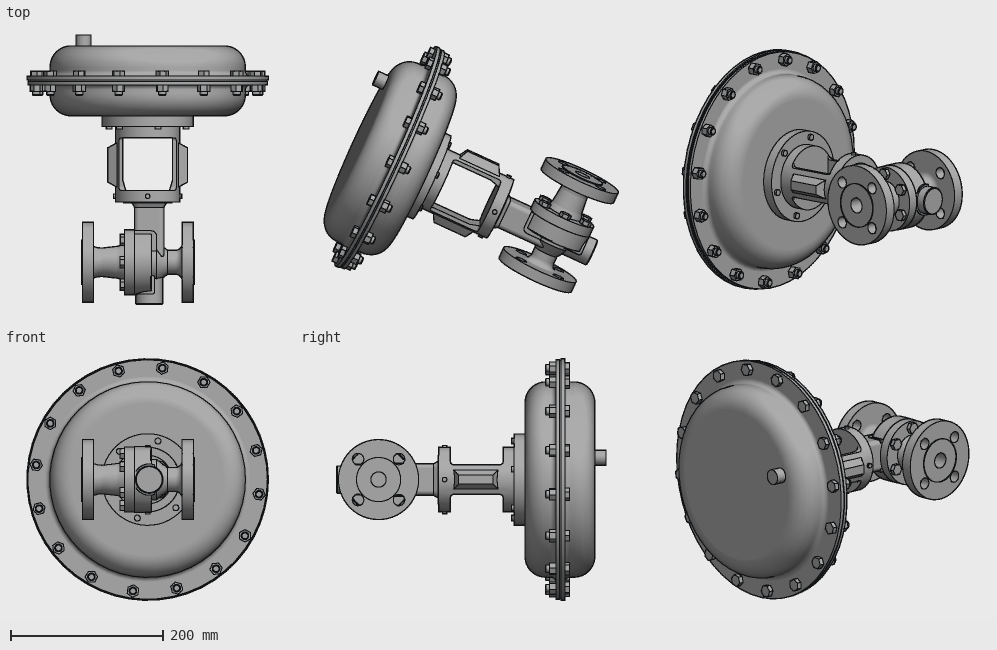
import cadquery as cq
import math


CASING_BOTTOM = 192.0
CASING_TOP = 284.0
DOME_RADIUS = 128.5
DOME_CORNER = 27.5
DOME_ROOT = 6.5
LOWER_RIM_BOTTOM = 232.8
LOWER_RIM_TOP = 237.5
UPPER_RIM_BOTTOM = 239.5
UPPER_RIM_TOP = 244.5
UPPER_RIM_RADIUS = 317.5 / 2
LOWER_RIM_RADIUS = 157.5
DIAPHRAGM_RADIUS = 156.7

CASING_BOLTS = 16
CASING_BOLT_CIRCLE = 147.5
CASING_BOLT_START = 15
CASING_HEX = 16.3
CASING_HEAD_HEIGHT = 6.5
CASING_NUT_HEIGHT = 8.5
CASING_THREAD_END = 219.0
CASING_THREAD_DIAMETER = 10.0
CASING_THREAD_CHAMFER = 1.0

PORT_X = -84.2
PORT_Z = 28.5
PORT_DIAMETER = 19.8
PORT_TOP = 298.5

PAD_RADIUS = 60
PAD_BOTTOM = 178.0
PAD_BOLTS = 6
PAD_BOLT_CIRCLE = 52.5
PAD_BOLT_START = 15
PAD_BOLT_DIAMETER = 7.8
PAD_BOLT_HEIGHT = 3.2

YOKE_RADIUS = 42.5
YOKE_BOTTOM = 79.0
WINDOW_BOTTOM = 94.5
WINDOW_TOP = 163.5
LEG_HALF_WIDTH = 19.5
LEG_FILLET = 4.5
WINDOW_HALF_WIDTH = 32.5
WINDOW_FOOT_HALF_WIDTH = 28.5
WINDOW_TAPER_TOP = 108.0
LUG_BASE_X = 40.5
LUG_TIP_X = 52.5
LUG_CENTER_Y = 127.7
LUG_BASE = (58.5, 25.5)
LUG_TIP = (45.3, 12.0)
SCREW_DIAMETER = 6.0
SCREW_TIP = 45.0

STEM_X = 2.0
SPIGOT_RADIUS = 32
SPIGOT_BOTTOM = 78
NECK_LENGTH_X = 39
NECK_LENGTH_Z = 41.8
NECK_CORNER = 6.0
FLARE_BOTTOM = 72.2
FLARE_OFFSET = 3.2
STEM_BOSS_RADIUS = 18.0
STEM_BOSS_BOTTOM = -55.2
STEM_BOSS_CHAMFER = 1.0

PIPE_FLANGE_RADIUS = 52.7
LEFT_FLANGE = (-85.5, -70.8)
RIGHT_FLANGE = (45.3, 60)
RAISED_FACE = 1.25
RAISED_FACE_RADIUS = 29.0
COVER = (-30.5, -17.0)
COVER_RADIUS = 42.8
BODY_RADIUS = 43.0
BODY_RIGHT = 5.0
BODY_EDGE = 1.5
NECK_ROOT_RIGHT = 11.5
NECK_ROOT_TOP = 41.5
NECK_ROOT_HALF_WIDTH = 22.0
NECK_ROOT_CORNER = 7
STEM_ROOT_RIGHT = 9.2
STEM_ROOT_RADIUS = 20.5
STEM_ROOT_BOTTOM = -41.8
STEM_ROOT_CORNER = 3.5
INLET_HUB = [(LEFT_FLANGE[1], 21.0), (-66.5, 19.5), (-60.5, 18.8), (-39, 21.2), (COVER[0], 24.0)]
OUTLET_RADIUS = 16.0
OUTLET_START = 26.2
OUTLET_SHOULDER_X = 11.5
OUTLET_SHOULDER_RADIUS = 26.5
OUTLET_FILLET = 9.0
PIPE_BORE = 20.0
BORE_DEPTH = 53
PIPE_BOLTS = 4
PIPE_BOLT_START = 45
PIPE_BOLT_CIRCLE = 38.0
PIPE_BOLT_HOLE = 15.0
COVER_BOLTS = 6
COVER_BOLT_CIRCLE = 34.0
COVER_BOLT_HEX = 15.2
COVER_BOLT_HEIGHT = 5.5


def along_y(y):
    """Workplane facing +Y at height y, with local x = X and local y = -Z."""
    return cq.Workplane("XZ", origin=(0, y, 0)).transformed(rotate=(180, 0, 0))


def disc_y(radius, bottom, top, x=0, z=0):
    """Cylinder parallel to Y."""
    return along_y(bottom).center(x, -z).circle(radius).extrude(top - bottom)


def disc_x(radius, left, right):
    """Cylinder on the pipe axis."""
    return cq.Workplane("YZ", origin=(left, 0, 0)).circle(radius).extrude(right - left)


def around(count, start, axis, shape):
    """Copies of shape, evenly turned about an axis through the origin."""
    copies = cq.Workplane()
    for i in range(count):
        copies = copies.add(shape.rotate((0, 0, 0), axis, start + i * 360 / count))
    return copies.combine()


def casing():
    flat = DOME_RADIUS - DOME_CORNER
    root = DOME_RADIUS + DOME_ROOT
    return (
        cq.Workplane("XY")
        .moveTo(0, CASING_BOTTOM)
        .lineTo(flat, CASING_BOTTOM)
        .radiusArc((DOME_RADIUS, CASING_BOTTOM + DOME_CORNER), -DOME_CORNER)
        .lineTo(DOME_RADIUS, LOWER_RIM_BOTTOM - DOME_ROOT)
        .radiusArc((root, LOWER_RIM_BOTTOM), DOME_ROOT)
        .lineTo(LOWER_RIM_RADIUS, LOWER_RIM_BOTTOM)
        .lineTo(LOWER_RIM_RADIUS, LOWER_RIM_TOP)
        .lineTo(DIAPHRAGM_RADIUS, LOWER_RIM_TOP)
        .lineTo(DIAPHRAGM_RADIUS, UPPER_RIM_BOTTOM)
        .lineTo(UPPER_RIM_RADIUS, UPPER_RIM_BOTTOM)
        .lineTo(UPPER_RIM_RADIUS, UPPER_RIM_TOP)
        .lineTo(root, UPPER_RIM_TOP)
        .radiusArc((DOME_RADIUS, UPPER_RIM_TOP + DOME_ROOT), DOME_ROOT)
        .lineTo(DOME_RADIUS, CASING_TOP - DOME_CORNER)
        .radiusArc((flat, CASING_TOP), -DOME_CORNER)
        .lineTo(0, CASING_TOP)
        .close()
        .revolve(360, (0, 0, 0), (0, 1, 0))
    )


def casing_hexagon(bottom, top, turn):
    """Hexagon on the bolt circle; with no turn, one corner points away from the casing axis."""
    return (
        along_y(bottom)
        .center(CASING_BOLT_CIRCLE, 0)
        .transformed(rotate=(0, 0, turn))
        .polygon(6, CASING_HEX)
        .extrude(top - bottom)
    )


def casing_bolts():
    hex_bottom = LOWER_RIM_BOTTOM - CASING_NUT_HEIGHT
    hex_top = UPPER_RIM_TOP + CASING_HEAD_HEIGHT
    head = casing_hexagon(UPPER_RIM_TOP, hex_top, 30)
    nut = casing_hexagon(hex_bottom, LOWER_RIM_BOTTOM, 0)
    thread = disc_y(CASING_THREAD_DIAMETER / 2, CASING_THREAD_END, hex_bottom, x=CASING_BOLT_CIRCLE)
    thread = thread.faces("<Y").chamfer(CASING_THREAD_CHAMFER)
    bolt = head.union(nut).union(thread)
    return around(CASING_BOLTS, CASING_BOLT_START, (0, -1, 0), bolt)


def mounting_pad():
    bolt = disc_y(PAD_BOLT_DIAMETER / 2, PAD_BOTTOM - PAD_BOLT_HEIGHT, PAD_BOTTOM, x=PAD_BOLT_CIRCLE)
    bolts = around(PAD_BOLTS, PAD_BOLT_START, (0, -1, 0), bolt)
    return disc_y(PAD_RADIUS, PAD_BOTTOM, CASING_BOTTOM).union(bolts)


def yoke():
    body = disc_y(YOKE_RADIUS, YOKE_BOTTOM, PAD_BOTTOM)
    span = 4 * YOKE_RADIUS
    middle = (WINDOW_BOTTOM + WINDOW_TOP) / 2
    for side in (-1, 1):
        side_gap = (
            cq.Workplane("XY")
            .box(span, WINDOW_TOP - WINDOW_BOTTOM, span)
            .edges("|X")
            .fillet(LEG_FILLET)
            .translate((0, middle, side * (LEG_HALF_WIDTH + span / 2)))
        )
        body = body.cut(side_gap)
    window = (
        cq.Workplane("XY")
        .polyline([
            (-WINDOW_FOOT_HALF_WIDTH, WINDOW_BOTTOM),
            (WINDOW_FOOT_HALF_WIDTH, WINDOW_BOTTOM),
            (WINDOW_HALF_WIDTH, WINDOW_TAPER_TOP),
            (WINDOW_HALF_WIDTH, WINDOW_TOP),
            (-WINDOW_HALF_WIDTH, WINDOW_TOP),
            (-WINDOW_HALF_WIDTH, WINDOW_TAPER_TOP),
        ])
        .close()
        .extrude(YOKE_RADIUS, both=True)
    )
    lug = (
        cq.Workplane("YZ", origin=(LUG_BASE_X, LUG_CENTER_Y, 0))
        .rect(*LUG_BASE)
        .workplane(offset=LUG_TIP_X - LUG_BASE_X)
        .rect(*LUG_TIP)
        .loft()
    )
    screw_y = (YOKE_BOTTOM + WINDOW_BOTTOM) / 2
    screw = cq.Workplane("YZ", origin=(0, screw_y, 0)).circle(SCREW_DIAMETER / 2).extrude(SCREW_TIP)
    body = body.cut(window)
    body = body.union(around(2, 0, (0, 1, 0), lug))
    return body.union(around(4, 0, (0, 1, 0), screw))


def neck():
    spigot = disc_y(SPIGOT_RADIUS, SPIGOT_BOTTOM, YOKE_BOTTOM)
    column = (
        along_y(0)
        .center(STEM_X, 0)
        .rect(NECK_LENGTH_X, NECK_LENGTH_Z)
        .extrude(SPIGOT_BOTTOM)
        .edges("|Y")
        .fillet(NECK_CORNER)
    )
    flare_height = SPIGOT_BOTTOM - FLARE_BOTTOM
    flare_angle = math.degrees(math.atan2(FLARE_OFFSET, flare_height))
    flare = (
        along_y(FLARE_BOTTOM)
        .center(STEM_X, 0)
        .sketch()
        .rect(NECK_LENGTH_X, NECK_LENGTH_Z)
        .vertices()
        .fillet(NECK_CORNER)
        .finalize()
        .extrude(flare_height, taper=-flare_angle)
    )
    stem_boss = disc_y(STEM_BOSS_RADIUS, STEM_BOSS_BOTTOM, 0, x=STEM_X)
    stem_boss = stem_boss.faces("<Y").chamfer(STEM_BOSS_CHAMFER)
    return spigot.union(column).union(flare).union(stem_boss)


def neck_root():
    """Block that blends the neck into the top of the chamber."""
    length = NECK_ROOT_RIGHT - COVER[1]
    return (
        cq.Workplane("XY")
        .box(length, NECK_ROOT_TOP, 2 * NECK_ROOT_HALF_WIDTH)
        .edges(">X and >Y")
        .fillet(NECK_ROOT_CORNER)
        .translate((COVER[1] + length / 2, NECK_ROOT_TOP / 2, 0))
    )


def stem_root():
    """Collar round the stem boss under the chamber, cut flat on its outlet side."""
    height = -STEM_ROOT_BOTTOM
    length = STEM_ROOT_RIGHT - COVER[1]
    keep = (
        cq.Workplane("XY")
        .box(length, height, 2 * STEM_ROOT_RADIUS)
        .edges(">X and <Y")
        .fillet(STEM_ROOT_CORNER)
        .translate((COVER[1] + length / 2, -height / 2, 0))
    )
    return disc_y(STEM_ROOT_RADIUS, STEM_ROOT_BOTTOM, 0, x=STEM_X).intersect(keep)


def valve_body():
    inlet = (
        cq.Workplane("XY")
        .polyline([(LEFT_FLANGE[1], 0), *INLET_HUB, (COVER[0], 0)])
        .close()
        .revolve(360, (0, 0, 0), (1, 0, 0))
    )
    outlet = (
        cq.Workplane("XY")
        .moveTo(BODY_RIGHT, 0)
        .lineTo(BODY_RIGHT, OUTLET_SHOULDER_RADIUS)
        .lineTo(OUTLET_SHOULDER_X, OUTLET_SHOULDER_RADIUS)
        .lineTo(OUTLET_START, OUTLET_RADIUS)
        .lineTo(RIGHT_FLANGE[0] - OUTLET_FILLET, OUTLET_RADIUS)
        .radiusArc((RIGHT_FLANGE[0], OUTLET_RADIUS + OUTLET_FILLET), -OUTLET_FILLET)
        .lineTo(RIGHT_FLANGE[0], 0)
        .close()
        .revolve(360, (0, 0, 0), (1, 0, 0))
    )
    chamber = disc_x(BODY_RADIUS, COVER[1], BODY_RIGHT).faces(">X").edges().fillet(BODY_EDGE)
    body = disc_x(COVER_RADIUS, *COVER).union(chamber)
    body = body.union(neck_root()).union(stem_root())
    return body.union(inlet).union(outlet)


def cover_bolts():
    bolt = (
        cq.Workplane("YZ", origin=(COVER[0] - COVER_BOLT_HEIGHT, 0, 0))
        .center(0, COVER_BOLT_CIRCLE)
        .polygon(6, COVER_BOLT_HEX)
        .extrude(COVER_BOLT_HEIGHT)
    )
    return around(COVER_BOLTS, 0, (1, 0, 0), bolt)


def pipe_flange(left, right, raised_left, raised_right):
    flange = disc_x(PIPE_FLANGE_RADIUS, left, right)
    holes = (
        cq.Workplane("YZ", origin=(left, 0, 0))
        .polarArray(PIPE_BOLT_CIRCLE, PIPE_BOLT_START, 360, PIPE_BOLTS)
        .circle(PIPE_BOLT_HOLE / 2)
        .extrude(right - left)
    )
    return flange.cut(holes).union(disc_x(RAISED_FACE_RADIUS, left - raised_left, right + raised_right))


def pipe_bores():
    left_end = LEFT_FLANGE[0] - RAISED_FACE
    right_end = RIGHT_FLANGE[1] + RAISED_FACE
    left_bore = disc_x(PIPE_BORE / 2, left_end, left_end + BORE_DEPTH)
    return left_bore.union(disc_x(PIPE_BORE / 2, right_end - BORE_DEPTH, right_end))


port = disc_y(PORT_DIAMETER / 2, UPPER_RIM_TOP, PORT_TOP, x=PORT_X, z=PORT_Z)

result = (
    casing()
    .union(casing_bolts())
    .union(port)
    .union(mounting_pad())
    .union(yoke())
    .union(neck())
    .union(valve_body())
    .union(cover_bolts())
    .union(pipe_flange(*LEFT_FLANGE, RAISED_FACE, 0))
    .union(pipe_flange(*RIGHT_FLANGE, 0, RAISED_FACE))
    .cut(pipe_bores())
)